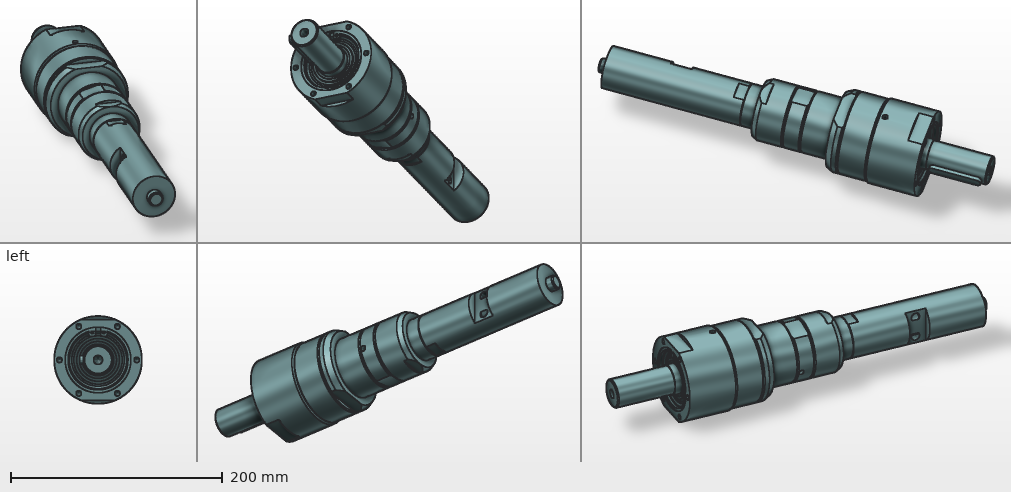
import cadquery as cq
import math

length = 388.0
collar_start = 59.5
housing_start = 62.0
housing_seam = 111.0
housing_end = 139.5
nut_taper_start = 145.5
nut_end = 151.7
clamp_start = 180.0
clamp_end = 197.5
sleeve_flat_start = 219.2
sleeve_taper_start = 223.5
sleeve_end = 228.5
wrench_start = 242.0
wrench_end = 252.5
tail_end = 380.2

shaft_radius = 14.0
collar_radius = 30.0 / 2
housing_radius = 41.5
cover_radius = 40.5
nut_small_radius = 37.2
sleeve_radius = 60.0 / 2
sleeve_small_radius = 27.5
tail_radius = 41.5 / 2
pin_radius = 7.0
edge_chamfer = 1.0
tail_groove_depth = 0.5

housing_flat_height = 38.0
housing_flat_end = 76.5
nut_flat_height = 35.0
clamp_flat_height = 28.0
clamp_tilt = 15.0
sleeve_flat_height = 27.5
wrench_flat_height = 19.0

key_start = 4.3
key_end = 56.0
key_width = 8.0
key_top = 17.5

recess_radius = 62 / 2
bearing_face = 66.0
circlip_start = 63.0
circlip_thickness = bearing_face - circlip_start
circlip_inner_radius = 28.5
lug_inner_radius = 22.5
lug_overlap = 1.0
lug_width = 6.2
lug_gap = 4.5
lug_hole_diameter = 2.5
outer_race_radius = 27.0
race_bore_radius = 25.0
shield_outer_radius = 23.0
inner_race_radius = 20.0
inner_race_step_radius = 17.5
race_taper_depth = 1.5
shield_depth = 2.5
inner_race_step_depth = 0.8

drill_point_angle = 118.0
center_hole_diameter = 8.5
center_hole_depth = 15.5
bolt_hole_diameter = 5.0
bolt_hole_depth = 11.5
bolt_circle_radius = 36.5
bolt_count = 6
oil_hole_x = 104.8
oil_hole_diameter = 5.0
oil_hole_depth = 7.8
clamp_hole_x = 184.0
clamp_hole_diameter = 5.0
clamp_hole_depth = 7.8

window_start = 300.7
window_end = 321.5
window_floor_distance = 11.0
window_hole_diameter = 8.5
window_hole_offset = 10.5
inner_shaft_radius = 13.0


def v_groove(x, left_radius, right_radius, depth=edge_chamfer):
    """Profile points of a V groove between two neighbouring diameters."""
    bottom = min(left_radius, right_radius) - depth
    return [
        (x - depth, left_radius),
        (x, bottom),
        (x + depth, right_radius),
    ]


def turned_body():
    """The stepped round body, revolved from its half profile."""
    profile = [
        (0, 0),
        (0, shaft_radius - edge_chamfer),
        (edge_chamfer, shaft_radius),
        (collar_start, shaft_radius),
        (collar_start, collar_radius),
        (housing_start, collar_radius),
        (housing_start, housing_radius),
        *v_groove(housing_seam, housing_radius, cover_radius),
        *v_groove(housing_end, cover_radius, cover_radius),
        (nut_taper_start, cover_radius),
        (nut_end, nut_small_radius),
        (nut_end, sleeve_radius),
        *v_groove(clamp_start, sleeve_radius, sleeve_radius),
        *v_groove(clamp_end, sleeve_radius, sleeve_radius),
        (sleeve_taper_start, sleeve_radius),
        (sleeve_end, sleeve_small_radius),
        (sleeve_end, tail_radius),
        *v_groove(wrench_start, tail_radius, tail_radius, tail_groove_depth),
        (tail_end, tail_radius),
        (tail_end, pin_radius),
        (length - edge_chamfer, pin_radius),
        (length, pin_radius - edge_chamfer),
        (length, 0),
    ]
    return cq.Workplane("XY").polyline(profile).close().revolve(360, (0, 0, 0), (1, 0, 0))


def disc(x_start, x_end, radius):
    """A solid disc on the turning axis."""
    return cq.Workplane("YZ", origin=(x_start, 0, 0)).circle(radius).extrude(x_end - x_start)


def ring(x_start, x_end, outer_radius, inner_radius):
    """A flat ring on the turning axis."""
    return disc(x_start, x_end, outer_radius).cut(disc(x_start, x_end, inner_radius))


def flat_pair(x_start, x_end, height, tilt=0.0):
    """Material outside two parallel flats above and below the axis."""
    width = 2 * housing_radius
    blocks = cq.Workplane("XY")
    for side in (1, -1):
        block = cq.Workplane("XY").box(x_end - x_start, width, width, centered=(False, True, True))
        blocks = blocks.add(block.translate((x_start, 0, side * (height + width / 2))))
    return blocks.combine().rotate((0, 0, 0), (1, 0, 0), tilt)


def drilled_hole(start, direction, diameter, depth):
    """A round hole with a conical drill point."""
    radius = diameter / 2
    point = radius / math.tan(math.radians(drill_point_angle / 2))
    axis = cq.Vector(*direction)
    cone_start = cq.Vector(*start) + axis * depth
    cylinder = cq.Solid.makeCylinder(radius, depth, cq.Vector(*start), axis)
    cone = cq.Solid.makeCone(radius, 0, point, cone_start, axis)
    return cylinder.fuse(cone)


def shaft_key():
    """A round-ended key reaching from the axis to its top face."""
    key_length = key_end - key_start
    return (
        cq.Workplane("XZ", origin=((key_start + key_end) / 2, 0, 0))
        .slot2D(key_length, key_width)
        .extrude(-key_top)
    )


def bearing_recess():
    """Space in front of the bearing, with the steps of its races and shield."""
    recess = ring(housing_start, bearing_face, recess_radius, collar_radius)
    shield = ring(bearing_face, bearing_face + shield_depth, shield_outer_radius, inner_race_radius)
    race_taper = cq.Workplane(
        cq.Solid.makeCone(
            outer_race_radius,
            race_bore_radius,
            race_taper_depth,
            cq.Vector(bearing_face, 0, 0),
            cq.Vector(1, 0, 0),
        )
    ).cut(disc(bearing_face, bearing_face + race_taper_depth, inner_race_radius))
    race_step = ring(
        bearing_face, bearing_face + inner_race_step_depth, inner_race_step_radius, collar_radius
    )
    return recess.union(shield).union(race_taper).union(race_step)


def circlip():
    """Split retaining ring with two drilled lugs at the top."""
    circlip_end = circlip_start + circlip_thickness
    clip = ring(circlip_start, circlip_end, recess_radius, circlip_inner_radius)
    lug_height = circlip_inner_radius + lug_overlap - lug_inner_radius
    lug_z = lug_inner_radius + lug_height / 2
    lug_y = (lug_gap + lug_width) / 2
    lug_centers = [(-lug_y, lug_z), (lug_y, lug_z)]
    lugs = (
        cq.Workplane("YZ", origin=(circlip_start, 0, 0))
        .pushPoints(lug_centers)
        .rect(lug_width, lug_height)
        .extrude(circlip_thickness)
    )
    holes = (
        cq.Workplane("YZ", origin=(circlip_start, 0, 0))
        .pushPoints(lug_centers)
        .circle(lug_hole_diameter / 2)
        .extrude(circlip_thickness)
    )
    gap = cq.Workplane("XY").box(length, lug_gap, housing_radius, centered=(True, True, False))
    return clip.union(lugs).cut(holes).cut(gap)


def tail_window():
    """Flat-floored window and its two holes, which stop on the inner shaft."""
    window_length = window_end - window_start
    window = (
        cq.Workplane("XY")
        .box(window_length, tail_radius, 2 * tail_radius, centered=(False, False, True))
        .translate((window_start, -window_floor_distance - tail_radius, 0))
    )
    hole_x = (window_start + window_end) / 2
    holes = (
        cq.Workplane("XZ", origin=(hole_x, 0, 0))
        .pushPoints([(0, -window_hole_offset), (0, window_hole_offset)])
        .circle(window_hole_diameter / 2)
        .extrude(tail_radius)
    )
    return window.union(holes.cut(disc(window_start, window_end, inner_shaft_radius)))


body = turned_body()

body = body.cut(flat_pair(housing_start, housing_flat_end, housing_flat_height))
body = body.cut(flat_pair(housing_end, nut_end, nut_flat_height))
body = body.cut(flat_pair(clamp_start, clamp_end, clamp_flat_height, clamp_tilt))
body = body.cut(flat_pair(sleeve_flat_start, sleeve_end, sleeve_flat_height))
body = body.cut(flat_pair(wrench_start, wrench_end, wrench_flat_height))

body = body.union(shaft_key())
body = body.cut(bearing_recess()).union(circlip())
body = body.cut(tail_window())

body = body.cut(drilled_hole((0, 0, 0), (1, 0, 0), center_hole_diameter, center_hole_depth))
for index in range(bolt_count):
    angle = 2 * math.pi * index / bolt_count
    bolt_start = (
        housing_start,
        bolt_circle_radius * math.cos(angle),
        bolt_circle_radius * math.sin(angle),
    )
    body = body.cut(drilled_hole(bolt_start, (1, 0, 0), bolt_hole_diameter, bolt_hole_depth))

oil_start = (oil_hole_x, 0, housing_radius)
body = body.cut(drilled_hole(oil_start, (0, 0, -1), oil_hole_diameter, oil_hole_depth))
tilt_y = math.cos(math.radians(clamp_tilt))
tilt_z = math.sin(math.radians(clamp_tilt))
clamp_hole_start = (clamp_hole_x, -sleeve_radius * tilt_y, -sleeve_radius * tilt_z)
body = body.cut(
    drilled_hole(clamp_hole_start, (0, tilt_y, tilt_z), clamp_hole_diameter, clamp_hole_depth)
)

result = body